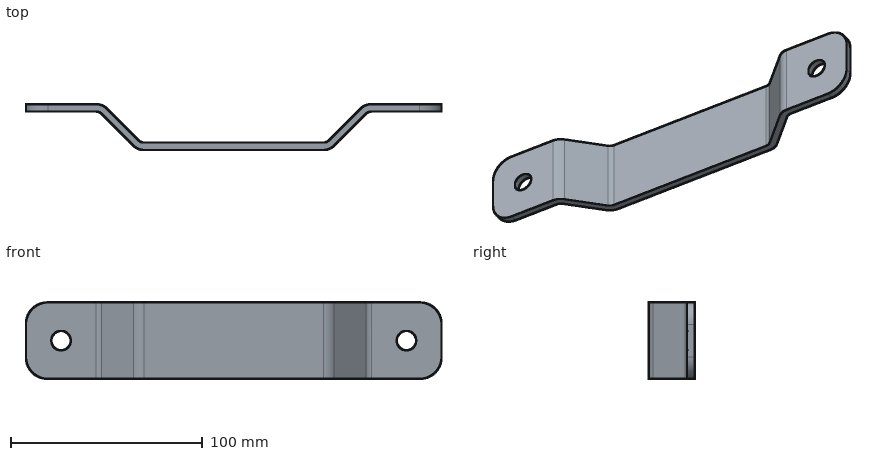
import cadquery as cq
import math

length = 216.77
depth = 24.04
height = 40.0
thickness = 4.0

bend_angle = 45.0
inner_radius = 4.0
outer_radius = inner_radius + thickness
grip_length = 93.4

hole_spacing = 180.0
hole_diameter = 10.0
corner_radius = 11.5

angle = math.radians(bend_angle)
offset = depth - thickness
bends_rise = (inner_radius + outer_radius) * (1 - math.cos(angle))
slope_length = (offset - bends_rise) / math.sin(angle)
leg_run = (inner_radius + outer_radius) * math.sin(angle) + slope_length * math.cos(angle)

front_y = -depth / 2
back_y = depth / 2
grip_end_x = grip_length / 2
flange_start_x = grip_end_x + leg_run


def arc_point(center, radius, turn):
    """Point on a bend arc; turn is measured from the -Y direction towards +X."""
    return (center[0] + radius * math.sin(turn), center[1] - radius * math.cos(turn))


def half_strip():
    """Strip from the middle of the grip to the end of the +X flange, with square corners."""
    grip_bend = (grip_end_x, front_y + outer_radius)
    flange_bend = (flange_start_x, back_y - outer_radius)
    half_angle = angle / 2
    profile = (
        cq.Workplane("XY", origin=(0, 0, -height / 2))
        .moveTo(0, front_y)
        .lineTo(grip_end_x, front_y)
        .threePointArc(
            arc_point(grip_bend, outer_radius, half_angle),
            arc_point(grip_bend, outer_radius, angle),
        )
        .lineTo(*arc_point(flange_bend, -inner_radius, angle))
        .threePointArc(
            arc_point(flange_bend, -inner_radius, half_angle),
            arc_point(flange_bend, -inner_radius, 0),
        )
        .lineTo(length / 2, back_y - thickness)
        .lineTo(length / 2, back_y)
        .lineTo(flange_start_x, back_y)
        .threePointArc(
            arc_point(flange_bend, -outer_radius, half_angle),
            arc_point(flange_bend, -outer_radius, angle),
        )
        .lineTo(*arc_point(grip_bend, inner_radius, angle))
        .threePointArc(
            arc_point(grip_bend, inner_radius, half_angle),
            arc_point(grip_bend, inner_radius, 0),
        )
        .lineTo(0, front_y + thickness)
        .close()
    )
    return profile.extrude(height)


def round_flange_corners(strip):
    """Round the four outer corners of the flanges."""
    strip = strip.faces("<X").edges("|Y").fillet(corner_radius)
    return strip.faces(">X").edges("|Y").fillet(corner_radius)


def mounting_holes():
    """Cylinders along Y that cut the flange holes."""
    return (
        cq.Workplane("XZ", origin=(0, back_y, 0))
        .pushPoints([(-hole_spacing / 2, 0), (hole_spacing / 2, 0)])
        .circle(hole_diameter / 2)
        .extrude(thickness)
    )


right_half = half_strip()
strip = right_half.union(right_half.mirror("YZ")).clean()
result = round_flange_corners(strip).cut(mounting_holes())